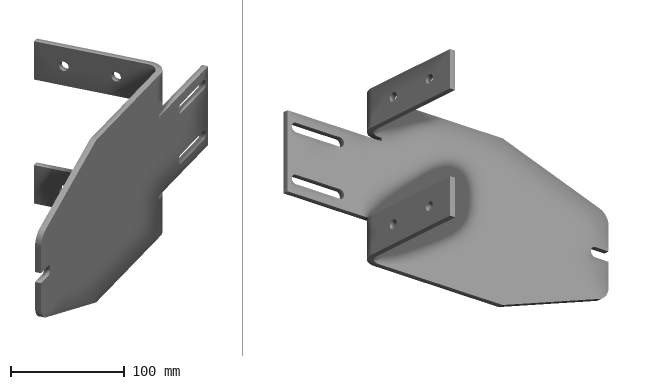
import cadquery as cq

length = 364.0
height = 160.0
depth = 127.0
thickness = 6.0

taper_length = 120.0
nose_height = height / 2
nose_radius = 15.0
notch_width = 10.0
notch_depth = 20.0

arm_height = 38.0
bend_inner_radius = 12.0
bend_outer_radius = bend_inner_radius + thickness
arm_outer_face = 278.5
bend_start = arm_outer_face - bend_outer_radius
hole_diameter = 9.0
hole_edge_distance = 28.8
hole_spacing = 50.2

tail_height = 78.0
relief_overrun = 3.5
relief_end = bend_start - relief_overrun
slot_length = 59.0
slot_width = 9.0
slot_end_distance = 5.0
slot_spacing = 50.0

arm_center = (height - arm_height) / 2
relief_height = (height - tail_height) / 2 - arm_height


def plate_block(y_start, y_end, z_center, z_size):
    """Rectangular piece of the plate between two Y positions."""
    y_size = y_end - y_start
    return cq.Workplane("XY").box(thickness, y_size, z_size).translate(
        (-thickness / 2, y_start + y_size / 2, z_center)
    )


def make_panel():
    """Main panel with a tapered, rounded nose, ending where the arms bend."""
    panel = (
        cq.Workplane("YZ")
        .moveTo(bend_start, -height / 2)
        .lineTo(bend_start, height / 2)
        .lineTo(taper_length, height / 2)
        .lineTo(0, nose_height / 2)
        .lineTo(0, -nose_height / 2)
        .lineTo(taper_length, -height / 2)
        .close()
        .extrude(-thickness)
    )
    return panel.edges("|X").edges("<Y").fillet(nose_radius)


def make_arm(z_center):
    """Bend and straight arm, extruded from their XY profile."""
    bend_x = -bend_outer_radius
    arm_inner_face = arm_outer_face - thickness
    diagonal = 0.5**0.5
    outer_mid = bend_outer_radius * diagonal
    inner_mid = bend_inner_radius * diagonal
    return (
        cq.Workplane("XY")
        .moveTo(0, bend_start)
        .threePointArc((bend_x + outer_mid, bend_start + outer_mid), (bend_x, arm_outer_face))
        .lineTo(-depth, arm_outer_face)
        .lineTo(-depth, arm_inner_face)
        .lineTo(bend_x, arm_inner_face)
        .threePointArc((bend_x + inner_mid, bend_start + inner_mid), (-thickness, bend_start))
        .close()
        .extrude(arm_height)
        .translate((0, 0, z_center - arm_height / 2))
    )


def make_arm_holes(z_center):
    """Pair of round holes through one arm."""
    first_x = -depth + hole_edge_distance
    return (
        cq.Workplane("XZ", origin=(0, arm_outer_face, 0))
        .pushPoints([(first_x, z_center), (first_x + hole_spacing, z_center)])
        .circle(hole_diameter / 2)
        .extrude(thickness)
    )


def make_tail_slots():
    """Two long adjustment slots through the tail."""
    slot_y = length - slot_end_distance - slot_length / 2
    return (
        cq.Workplane("YZ")
        .pushPoints([(slot_y, -slot_spacing / 2), (slot_y, slot_spacing / 2)])
        .slot2D(slot_length, slot_width)
        .extrude(-thickness)
    )


def make_nose_notch():
    """Round-ended notch open at the tip of the nose."""
    return (
        cq.Workplane("YZ")
        .slot2D(2 * notch_depth, notch_width)
        .extrude(-thickness)
    )


tail = plate_block(bend_start, length, 0, tail_height)
result = make_panel().union(tail)

for side in (-1, 1):
    relief_center = side * (tail_height + relief_height) / 2
    result = result.union(make_arm(side * arm_center))
    result = result.cut(make_arm_holes(side * arm_center))
    result = result.cut(plate_block(relief_end, bend_start, relief_center, relief_height))

result = result.cut(make_tail_slots())
result = result.cut(make_nose_notch())